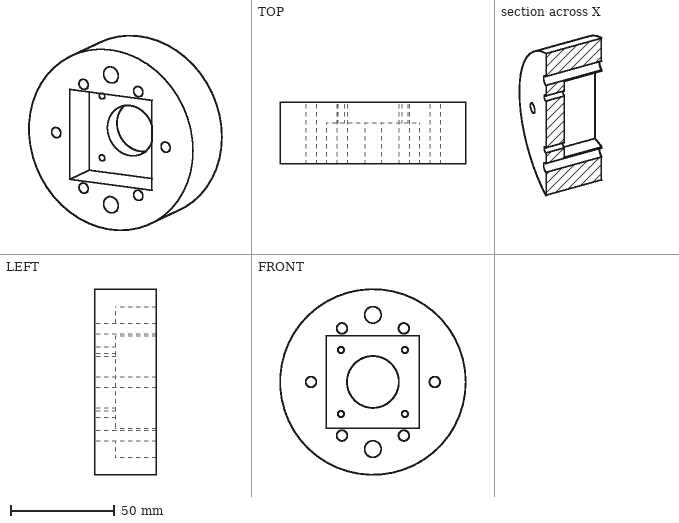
import cadquery as cq

disc_diameter = 90.0
disc_thickness = 30.0

pocket_side = 45.0
pocket_depth = 20.0
bore_diameter = 25.0

floor_hole_diameter = 3.0
floor_hole_spacing = 31.0

bolt_hole_diameter = 5.0
bolt_circle_radius = 30.0
bolt_hole_count = 6

blind_hole_diameter = 8.0
blind_hole_offset = 32.5
blind_hole_depth = 20.0


def front_sketch():
    """Plane of the front face; its local X and Y follow the part's X and Z."""
    return cq.Workplane("XZ")


def cylinders(sketch, diameter, depth):
    """Cylinders at the sketch's points, running from the front face into the disc."""
    return sketch.circle(diameter / 2).extrude(-depth)


disc = cylinders(front_sketch(), disc_diameter, disc_thickness)
pocket = front_sketch().rect(pocket_side, pocket_side).extrude(-pocket_depth)
bore = cylinders(front_sketch(), bore_diameter, disc_thickness)

floor_holes = cylinders(
    front_sketch().rect(floor_hole_spacing, floor_hole_spacing, forConstruction=True).vertices(),
    floor_hole_diameter,
    disc_thickness,
)
bolt_holes = cylinders(
    front_sketch().polarArray(bolt_circle_radius, 0, 360, bolt_hole_count),
    bolt_hole_diameter,
    disc_thickness,
)
blind_holes = cylinders(
    front_sketch().pushPoints([(0, blind_hole_offset), (0, -blind_hole_offset)]),
    blind_hole_diameter,
    blind_hole_depth,
)

result = disc
for cutter in (pocket, bore, floor_holes, bolt_holes, blind_holes):
    result = result.cut(cutter)